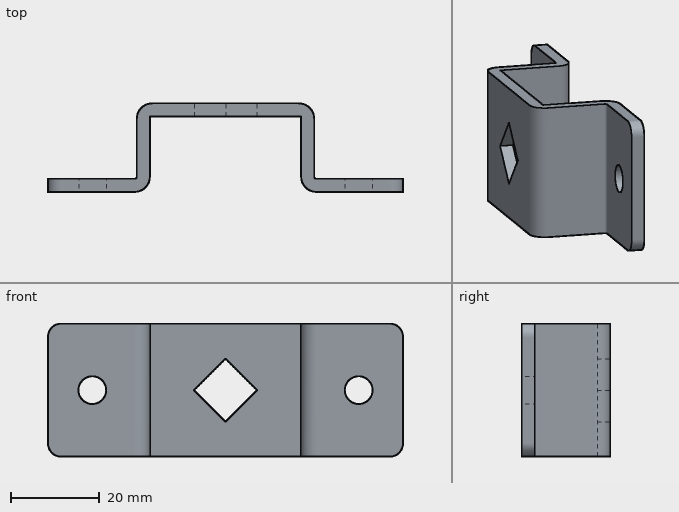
import cadquery as cq

overall_length = 80.0
overall_depth = 20.0
height = 30.0
thickness = 3.0
channel_width = 40.0
outer_bend_radius = 3.5
corner_radius = 3.0
screw_hole_diameter = 6.2
screw_hole_spacing = 60.0
square_hole_side = 10.0
square_hole_angle = 45.0

flange_inner_bend_radius = outer_bend_radius - thickness
half_length = overall_length / 2
half_outer = channel_width / 2
half_inner = half_outer - thickness
front_y = -overall_depth / 2
back_y = overall_depth / 2
flange_back_y = front_y + thickness
web_front_y = back_y - thickness


def bent_strip():
    """Hat-shaped strip extruded along Z.

    The flange bends have concentric radii; the web corners are rounded outside and sharp inside.
    """
    outline = [
        (-half_length, front_y),
        (-half_inner, front_y),
        (-half_inner, web_front_y),
        (half_inner, web_front_y),
        (half_inner, front_y),
        (half_length, front_y),
        (half_length, flange_back_y),
        (half_outer, flange_back_y),
        (half_outer, back_y),
        (-half_outer, back_y),
        (-half_outer, flange_back_y),
        (-half_length, flange_back_y),
    ]
    strip = cq.Workplane("XY").polyline(outline).close().extrude(height / 2, both=True)
    for side in (-1, 1):
        outer_bends = [(side * half_inner, front_y), (side * half_outer, back_y)]
        for x, y in outer_bends:
            strip = strip.edges(vertical_edge_at(x, y)).fillet(outer_bend_radius)
        flange_inner_bend = vertical_edge_at(side * half_outer, flange_back_y)
        strip = strip.edges(flange_inner_bend).fillet(flange_inner_bend_radius)
    return strip


def vertical_edge_at(x, y):
    """Selector for the Z-parallel edge nearest to (x, y) at mid height."""
    return cq.selectors.NearestToPointSelector((x, y, 0))


def round_flange_corners(strip):
    """Round the four free corners of the mounting flanges."""
    return strip.edges("|Y").edges("<X or >X").fillet(corner_radius)


def through_cutter(sketch):
    """Prism running along Y through the full depth of the bracket."""
    return sketch.extrude(overall_depth, both=True)


def screw_holes():
    """Round mounting holes, one in each flange."""
    half_spacing = screw_hole_spacing / 2
    centers = [(-half_spacing, 0), (half_spacing, 0)]
    return through_cutter(cq.Workplane("XZ").pushPoints(centers).circle(screw_hole_diameter / 2))


def square_hole():
    """Square opening in the web, standing on one corner."""
    tilted_plane = cq.Workplane("XZ").transformed(rotate=(0, 0, square_hole_angle))
    return through_cutter(tilted_plane.rect(square_hole_side, square_hole_side))


bracket = round_flange_corners(bent_strip())
result = bracket.cut(screw_holes()).cut(square_hole())